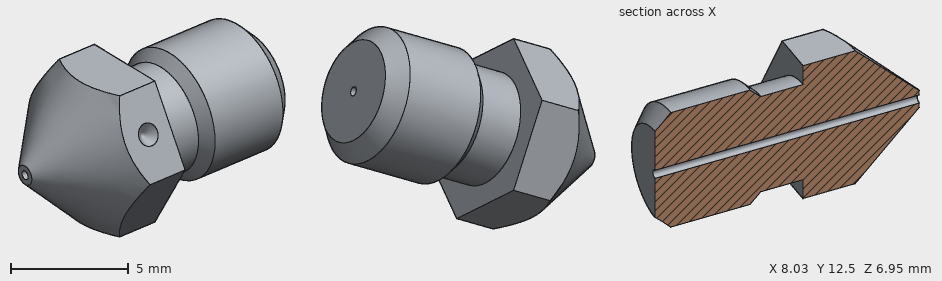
import cadquery as cq
import math

length = 12.5
hex_flats = 6.95
hex_corners = hex_flats / math.cos(math.radians(30))
hex_back = 5.5
tip_radius = 0.45
bore_diameter = 0.4

neck_radius = 2.5
neck_end = 7.5
shank_radius = 3.0
neck_chamfer = shank_radius - neck_radius
end_chamfer = 0.75

dimple_radius = 0.5
dimple_y = 4.3
dimple_depth = 0.5
dimple_angle = 30


def make_head():
    """Hexagon prism trimmed to a 45 degree cone at the tip."""
    prism = cq.Workplane("XZ").polygon(6, hex_corners).extrude(-hex_back)
    cone = (
        cq.Workplane("XY")
        .polyline([(0, 0), (tip_radius, 0), (tip_radius + hex_back, hex_back), (0, hex_back)])
        .close()
        .revolve(360, (0, 0, 0), (0, 1, 0))
    )
    return prism.intersect(cone)


def make_shank():
    """Neck and shank, chamfered at both ends of the shank."""
    outline = [
        (0, hex_back),
        (neck_radius, hex_back),
        (neck_radius, neck_end),
        (shank_radius, neck_end + neck_chamfer),
        (shank_radius, length - end_chamfer),
        (shank_radius - end_chamfer, length),
        (0, length),
    ]
    return cq.Workplane("XY").polyline(outline).close().revolve(360, (0, 0, 0), (0, 1, 0))


def make_dimple():
    """Conical drill point sunk into the upper right hexagon flat."""
    face = hex_flats / 2
    outline = [
        (face, dimple_y),
        (face, dimple_y + dimple_radius),
        (face - dimple_depth, dimple_y),
    ]
    drill = cq.Workplane("XY").polyline(outline).close().revolve(360, (0, dimple_y, 0), (1, dimple_y, 0))
    return drill.rotate((0, 0, 0), (0, 1, 0), -dimple_angle)


bore = cq.Workplane("XZ").circle(bore_diameter / 2).extrude(-length)
result = make_head().union(make_shank()).cut(bore).cut(make_dimple())